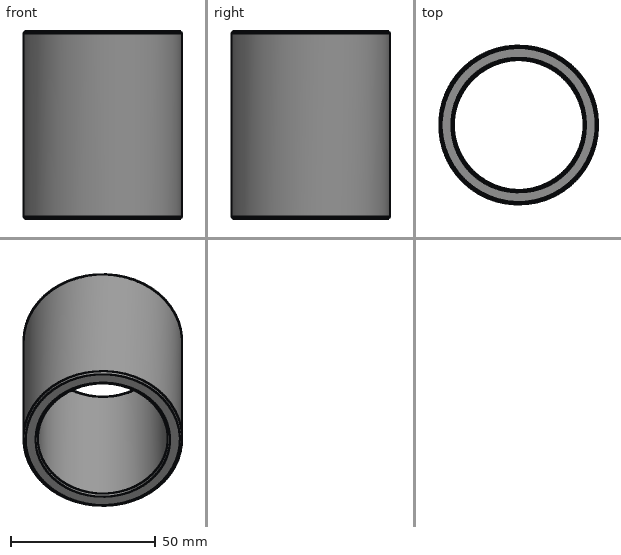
import cadquery as cq

outer_diameter = 55.0
bore_diameter = 45.0
length = 65.0
edge_chamfer = 0.8

sleeve = (
    cq.Workplane("XY")
    .circle(outer_diameter / 2)
    .circle(bore_diameter / 2)
    .extrude(length)
)

result = sleeve.faces("<Z or >Z").edges().chamfer(edge_chamfer)